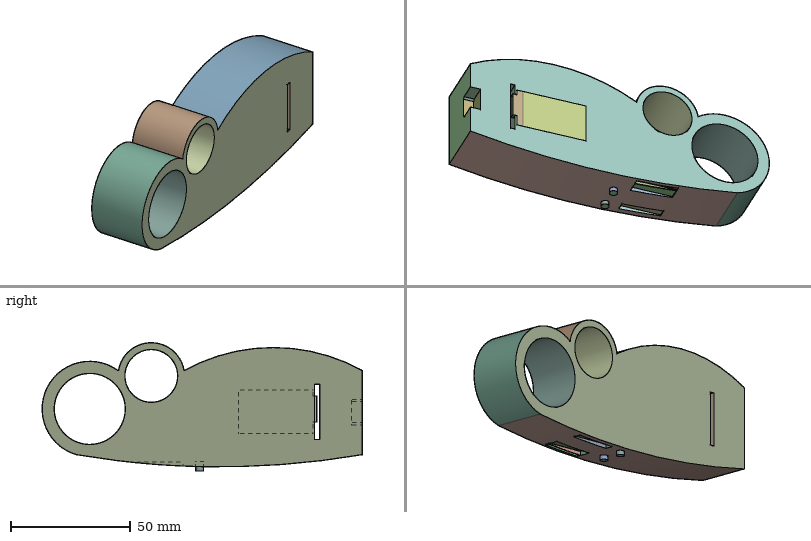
import cadquery as cq
import math

length = 134.1
thickness = 25.0
end_y = length / 2
end_top_z = 16.1
end_bottom_z = -19.2
top_peak_z = 25.8
bottom_peak_z = -24.3

large_outer_r = 20.0
large_bore_d = 29.6
large_y = large_outer_r - length / 2
large_z = 0.0
small_outer_r = 14.0
small_bore_d = 22.0
small_y = -21.3
small_z = 13.8

top_end_y = small_y + math.sqrt(small_outer_r**2 - (end_top_z - small_z) ** 2)
top_peak_y = (end_y + top_end_y) / 2

bottom_end_y = large_y - math.sqrt(large_outer_r**2 - (end_bottom_z - large_z) ** 2)
bottom_peak_y = (end_y + bottom_end_y) / 2

notch_length = 4.5
notch_center_z = -1.3
notch_height = 10.6
notch_depth = 8.0
notch_chamfer_height = 0.87
notch_chamfer_depth = 0.7

cover_min_y = 15.2
cover_seam_y = 43.5
cover_max_y = 46.3
cover_height = 18.2
cover_center_z = -1.2
cover_depth = 2.0
tongue_tip_y = 48.0
tongue_height = 11.0
tongue_center_z = 0.0

slot_min_y = 47.1
slot_width = 2.0
slot_height = 23.1

pin_d = 3.4
pin_y = -1.1
pin_xs = (10.3, 20.3)
pin_tip_z = -26.0
pin_length = 4.0

recess_x_spans = ((1.6, 3.4), (3.6, 8.6), (18.6, 22.3))
recess_min_y = -26.8
recess_max_y = -8.0
recess_ceiling_z = -22.1


def ring_valley():
    """Upper point where the outer circles of the two rings cross, as (y, z)."""
    dy = large_y - small_y
    dz = large_z - small_z
    distance = math.hypot(dy, dz)
    along = (distance**2 + small_outer_r**2 - large_outer_r**2) / (2 * distance)
    across = math.sqrt(small_outer_r**2 - along**2)
    valley_y = small_y + (along * dy + across * dz) / distance
    valley_z = small_z + (along * dz - across * dy) / distance
    return (valley_y, valley_z)


def make_grip():
    """Slab outlined by the top arc, the two rings and the bottom arc, with the ring bores."""
    grip = (
        cq.Workplane("YZ")
        .moveTo(end_y, end_top_z)
        .threePointArc((top_peak_y, top_peak_z), (top_end_y, end_top_z))
        .threePointArc((small_y, small_z + small_outer_r), ring_valley())
        .threePointArc((large_y - large_outer_r, large_z), (bottom_end_y, end_bottom_z))
        .threePointArc((bottom_peak_y, bottom_peak_z), (end_y, end_bottom_z))
        .close()
        .extrude(thickness)
    )
    for diameter, y, z in ((large_bore_d, large_y, large_z), (small_bore_d, small_y, small_z)):
        bore = cq.Workplane("YZ").center(y, z).circle(diameter / 2).extrude(thickness)
        grip = grip.cut(bore)
    return grip


def side_box(min_y, max_y, center_z, height, depth):
    """Box that reaches from the -X side face to the given depth."""
    box = cq.Workplane("XY").box(depth, max_y - min_y, height, centered=(False, False, True))
    return box.translate((0, min_y, center_z))


def make_notch():
    """Pocket in the +Y end whose floor is narrowed by a chamfer above and below."""
    mouth_half = notch_height / 2
    floor_half = mouth_half - notch_chamfer_height
    chamfer_start = notch_depth - notch_chamfer_depth
    profile = [
        (0, mouth_half),
        (chamfer_start, mouth_half),
        (notch_depth, floor_half),
        (notch_depth, -floor_half),
        (chamfer_start, -mouth_half),
        (0, -mouth_half),
    ]
    plane = cq.Workplane("XZ", origin=(0, end_y, notch_center_z))
    return plane.polyline(profile).close().extrude(notch_length)


def make_slot():
    return side_box(slot_min_y, slot_min_y + slot_width, cover_center_z, slot_height, thickness)


def make_recess(start_x, end_x):
    """Cutter that opens the underside up to the recess ceiling."""
    recess = cq.Workplane("XY").box(
        end_x - start_x,
        recess_max_y - recess_min_y,
        recess_ceiling_z - pin_tip_z,
        centered=False,
    )
    return recess.translate((start_x, recess_min_y, pin_tip_z))


def make_cover():
    """Panel and latch in one solid; their flush faces stay separate along the seam."""
    panel = side_box(cover_min_y, cover_seam_y, cover_center_z, cover_height, cover_depth)
    latch = side_box(cover_seam_y, cover_max_y, cover_center_z, cover_height, cover_depth)
    tongue = side_box(cover_seam_y, tongue_tip_y, tongue_center_z, tongue_height, cover_depth)
    return panel.union(latch.union(tongue), clean=False)


def make_pin(x):
    return cq.Workplane("XY", origin=(x, pin_y, pin_tip_z)).circle(pin_d / 2).extrude(pin_length)


def make_handle(inserts):
    """Grip with its notch, slot and recesses, and a matching seat for each inserted body."""
    handle = make_grip().cut(make_notch()).cut(make_slot())
    for start_x, end_x in recess_x_spans:
        handle = handle.cut(make_recess(start_x, end_x))
    for insert in inserts:
        handle = handle.cut(insert)
    return handle


cover = make_cover()
pins = [make_pin(x) for x in pin_xs]
handle = make_handle([cover, *pins])

result = cq.Compound.makeCompound([handle.val(), cover.val(), *[pin.val() for pin in pins]])